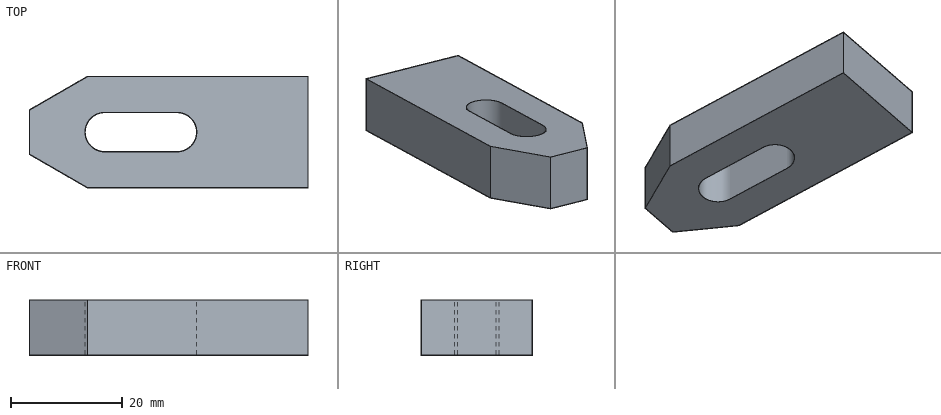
import cadquery as cq
import math

LENGTH = 50.0
WIDTH = 20.0
THICKNESS = 10.0
NOSE_WIDTH = 8.0
TAPER_ANGLE = 30.0
SLOT_WIDTH = 7.0
SLOT_LENGTH = 20.0
SLOT_START = 10.0

half_width = WIDTH / 2
half_nose = NOSE_WIDTH / 2
taper_length = (half_width - half_nose) / math.tan(math.radians(TAPER_ANGLE))
slot_center_x = SLOT_START + SLOT_LENGTH / 2


def clamp_body():
    """Flat bar with a tapered nose at X = 0, resting on Z = 0."""
    outline = [
        (0, -half_nose),
        (taper_length, -half_width),
        (LENGTH, -half_width),
        (LENGTH, half_width),
        (taper_length, half_width),
        (0, half_nose),
    ]
    return cq.Workplane("XY").polyline(outline).close().extrude(THICKNESS)


def stud_slot():
    """Round-ended slot through the full thickness, along the center line."""
    return (
        cq.Workplane("XY")
        .center(slot_center_x, 0)
        .slot2D(SLOT_LENGTH, SLOT_WIDTH)
        .extrude(THICKNESS)
    )


result = clamp_body().cut(stud_slot())